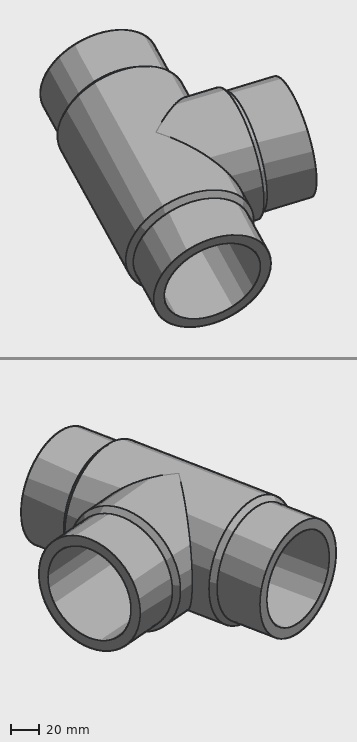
import cadquery as cq

spigot_diameter = 90.0
wall_thickness = 8.2
body_diameter = 98.2
run_half_length = 106.0
branch_length = 105.0
spigot_length = 38.0

bore_diameter = spigot_diameter - 2 * wall_thickness
shoulder_chamfer = (body_diameter - spigot_diameter) / 2
run_plane = cq.Plane.YZ()
branch_plane = cq.Plane(origin=(0, 0, 0), xDir=(1, 0, 0), normal=(0, 1, 0))


def cylinder(plane, diameter, start, end):
    """Cylinder along the plane's normal between two distances from the origin."""
    return (
        cq.Workplane(plane)
        .workplane(offset=start)
        .circle(diameter / 2)
        .extrude(end - start)
    )


def make_run():
    """Thick body with a chamfered shoulder and a spigot at both ends."""
    body_half_length = run_half_length - spigot_length
    body = cylinder(run_plane, body_diameter, -body_half_length, body_half_length)
    body = body.faces("<X or >X").chamfer(shoulder_chamfer)
    spigots = cylinder(run_plane, spigot_diameter, -run_half_length, run_half_length)
    return body.union(spigots)


def make_branch():
    """Thick body with one chamfered shoulder and a spigot, starting on the run axis."""
    body = cylinder(branch_plane, body_diameter, 0, branch_length - spigot_length)
    body = body.faces(">Y").chamfer(shoulder_chamfer)
    spigot = cylinder(branch_plane, spigot_diameter, 0, branch_length)
    return body.union(spigot)


run_bore = cylinder(run_plane, bore_diameter, -run_half_length, run_half_length)
branch_bore = cylinder(branch_plane, bore_diameter, 0, branch_length)

result = make_run().union(make_branch()).cut(run_bore).cut(branch_bore)